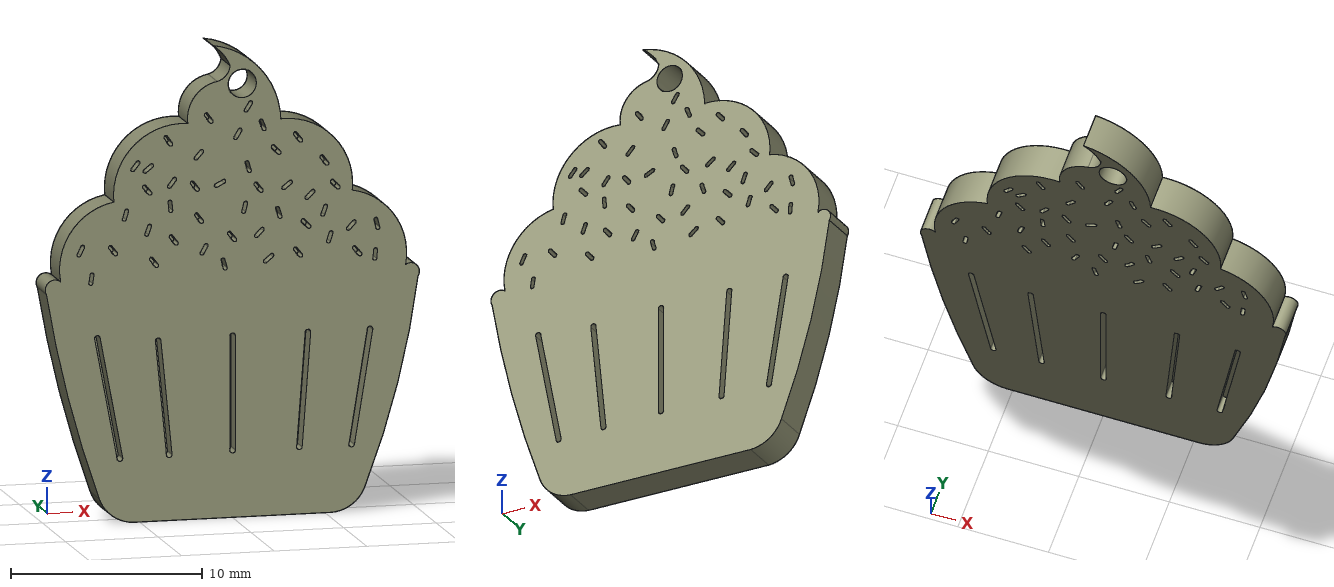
import cadquery as cq
import math

THICKNESS = 2.0
ENGRAVING_DEPTH = 1.0

SHIFTED_AXIS_X = 0.045

WRAPPER_SIDE_TOP = (10.025, 12.4)
WRAPPER_SIDE_MIDDLE = (9.1, 7.44)
CORNER_TOP = (7.18, 1.36)
CORNER_MIDDLE = (6.58, 0.48)
BASE_HALF_WIDTH = 5.35

RIM_MIDDLE = (9.93, 13.02)
RIM_END = (9.35, 13.05)

LOWER_LOBE_MIDDLE = (8.45, 16.11)
LOWER_CREASE = (6.48, 17.17)
MIDDLE_LOBE_MIDDLE = (5.33, 20.21)
UPPER_CREASE_Z = 21.17
UPPER_CREASE_RIGHT_X = 2.62
UPPER_CREASE_LEFT_X = -2.4

TIP = (-1.08, 25.27)
TIP_BACK_MIDDLE = (1.28, 24.15)
TIP_FRONT_MIDDLE = (-0.45, 24.72)
HOLLOW_TOP = (-0.12, 24.15)
HOLLOW_MIDDLE = (-0.32, 23.65)
TOP_LOBE_END = (-0.82, 23.34)
TOP_LOBE_MIDDLE = (-1.84, 22.81)

HOLE_DIAMETER = 1.51
HOLE_CENTER = (0.54, 23.16)

PLEAT_WIDTH = 0.3
PLEATS = [
    ((-7.28, 9.93), (-6.06, 3.45)),
    ((-4.0, 9.63), (-3.4, 3.52)),
    ((0.02, 9.7), (0.02, 3.6)),
    ((4.08, 9.7), (3.62, 3.6)),
    ((7.43, 9.7), (6.44, 3.6)),
]

SPRINKLE_LENGTH = 0.66
SPRINKLE_WIDTH = 0.21
SPRINKLES = [
    (0.87, 21.92, 58), (-1.27, 21.4, 126), (1.64, 20.89, 112), (0.3, 20.48, 59),
    (-3.45, 20.29, 125), (3.55, 20.15, 129), (2.37, 19.54, 134), (-1.8, 19.47, 48),
    (-5.23, 19.02, 51), (4.97, 18.85, 127), (-4.53, 18.87, 39), (0.86, 18.7, 107),
    (-3.25, 18.04, 53), (-2.02, 17.8, 128), (-0.66, 17.88, 27), (-4.59, 17.72, 131),
    (1.42, 17.57, 129), (2.96, 17.62, 38), (5.56, 17.53, 134), (4.19, 17.05, 44),
    (-3.34, 16.79, 96), (0.67, 16.54, 76), (-5.76, 16.44, 74), (2.51, 16.17, 108),
    (4.96, 16.17, 70), (-1.79, 16.08, 127), (-4.54, 15.57, 70), (3.98, 15.51, 134),
    (7.8, 15.32, 105), (6.42, 15.3, 47), (1.46, 15.15, 46), (-3.16, 14.98, 128),
    (-0.01, 15.01, 129), (5.26, 14.73, 72), (-8.17, 14.64, 64), (-6.43, 14.57, 129),
    (-1.52, 14.4, 61), (3.55, 14.0, 129), (6.74, 13.91, 131), (-4.22, 13.84, 129),
    (7.71, 13.69, 85), (1.96, 13.75, 40), (-0.44, 13.56, 106), (-7.6, 13.11, 82),
]


def mirrored(point):
    """The matching point on the left half, reflected in X = 0."""
    return (-point[0], point[1])


def mirrored_shifted(point):
    """The matching point on the left half, reflected in the shifted axis."""
    return (2 * SHIFTED_AXIS_X - point[0], point[1])


def front_plane():
    """Workplane on the decorated face; its normal points toward -Y, away from the part."""
    return cq.Workplane("XZ")


def cupcake_body():
    base_end = (BASE_HALF_WIDTH, 0)
    outline = (
        front_plane()
        .moveTo(*mirrored(base_end))
        .lineTo(*base_end)
        .threePointArc(CORNER_MIDDLE, CORNER_TOP)
        .threePointArc(WRAPPER_SIDE_MIDDLE, WRAPPER_SIDE_TOP)
        .threePointArc(RIM_MIDDLE, RIM_END)
        .threePointArc(LOWER_LOBE_MIDDLE, LOWER_CREASE)
        .threePointArc(MIDDLE_LOBE_MIDDLE, (UPPER_CREASE_RIGHT_X, UPPER_CREASE_Z))
        .threePointArc(TIP_BACK_MIDDLE, TIP)
        .threePointArc(TIP_FRONT_MIDDLE, HOLLOW_TOP)
        .threePointArc(HOLLOW_MIDDLE, TOP_LOBE_END)
        .threePointArc(TOP_LOBE_MIDDLE, (UPPER_CREASE_LEFT_X, UPPER_CREASE_Z))
        .threePointArc(mirrored_shifted(MIDDLE_LOBE_MIDDLE), mirrored_shifted(LOWER_CREASE))
        .threePointArc(mirrored_shifted(LOWER_LOBE_MIDDLE), mirrored_shifted(RIM_END))
        .threePointArc(mirrored(RIM_MIDDLE), mirrored(WRAPPER_SIDE_TOP))
        .threePointArc(mirrored_shifted(WRAPPER_SIDE_MIDDLE), mirrored(CORNER_TOP))
        .threePointArc(mirrored(CORNER_MIDDLE), mirrored(base_end))
        .close()
    )
    return outline.extrude(-THICKNESS)


def ring_hole():
    return front_plane().center(*HOLE_CENTER).circle(HOLE_DIAMETER / 2).extrude(-THICKNESS)


def round_ended_groove(center, length, width, angle):
    """Cutter for a groove of given overall length, sunk from the decorated face."""
    return (
        front_plane()
        .center(*center)
        .slot2D(length, width, angle)
        .extrude(-ENGRAVING_DEPTH)
    )


def pleat_groove(top, bottom):
    run = top[0] - bottom[0]
    rise = top[1] - bottom[1]
    center = ((top[0] + bottom[0]) / 2, (top[1] + bottom[1]) / 2)
    length = math.hypot(run, rise) + PLEAT_WIDTH
    angle = math.degrees(math.atan2(rise, run))
    return round_ended_groove(center, length, PLEAT_WIDTH, angle)


result = cupcake_body().cut(ring_hole())
for pleat_top, pleat_bottom in PLEATS:
    result = result.cut(pleat_groove(pleat_top, pleat_bottom))
for x, z, tilt in SPRINKLES:
    result = result.cut(round_ended_groove((x, z), SPRINKLE_LENGTH, SPRINKLE_WIDTH, tilt))